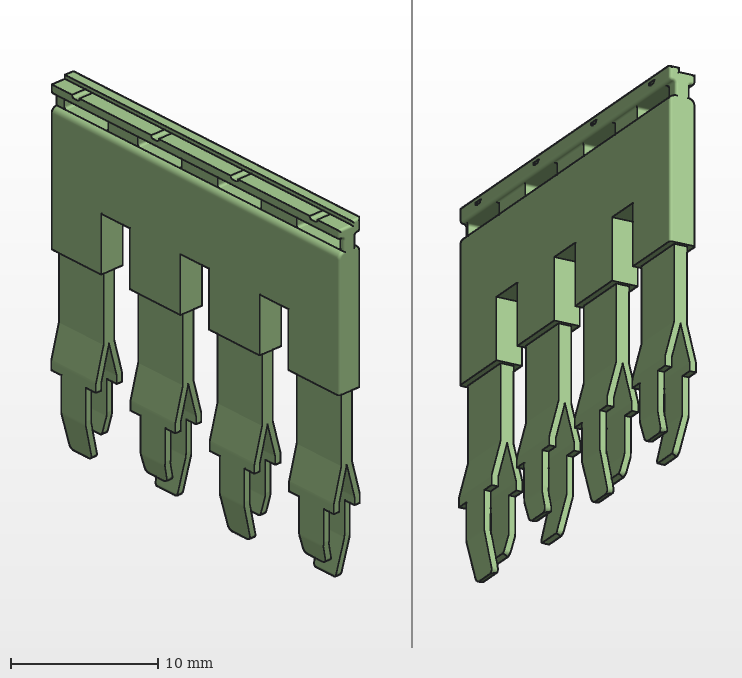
import cadquery as cq
import math


pole_count = 4
pole_pitch = 7.95
slot_width = 2.85
overall_height = 27.94

housing_thickness = 2.0
housing_bottom_z = 14.97
slot_top_z = 19.64
end_round = 0.2

neck_thickness = 1.1
neck_bottom_z = 25.87
shoulder_round = 0.5
shoulder_fall = math.radians(20)
head_bottom_z = 26.86
ledge_z = 27.63
rear_lip_y = 0.2
head_edge_round = 0.25
neck_root_round = 0.17

window_width = 4.38
window_corner_round = 0.2
window_offset = 0.02
first_window_shift = 0.58

notch_width = 0.75
notch_depth = 0.22
notch_floor_round = 0.2

pin_width = 4.5
pin_spread = 2.42
leaf_thickness = 0.5
split_z = 9.27
upper_bend_z = 6.56
lower_bend_z = 2.94
bend_inner_round = 0.3
finger_width = 2.5
finger_top_z = 5.85
taper_top_z = 3.28
tip_width = 2.2
tip_outer_y = 0.49
tip_half_gap = 0.05
tip_corner_round = 0.4
short_leaf_z = 1.49

position_tolerance = 0.01

housing_length = pole_count * pole_pitch - slot_width
half_length = housing_length / 2
half_thickness = housing_thickness / 2
half_neck = neck_thickness / 2
half_spread = pin_spread / 2
pole_positions = [(i - (pole_count - 1) / 2) * pole_pitch for i in range(pole_count)]


def box_between(x_min, x_max, y_min, y_max, z_min, z_max):
    size = (x_max - x_min, y_max - y_min, z_max - z_min)
    return cq.Workplane("XY").box(*size, centered=False).translate((x_min, y_min, z_min))


def housing_bar():
    """Solid bar with the head, neck and shoulder section, rounded at both ends."""
    diagonal = math.sqrt(0.5)
    shoulder_centre_y = half_thickness - shoulder_round
    shoulder_top_y = shoulder_centre_y + shoulder_round * math.sin(shoulder_fall)
    shoulder_top_z = neck_bottom_z - (shoulder_top_y - half_neck) * math.tan(shoulder_fall)
    shoulder_z = shoulder_top_z - shoulder_round * math.cos(shoulder_fall)
    shoulder_mid_y = shoulder_centre_y + shoulder_round * diagonal
    shoulder_mid_z = shoulder_z + shoulder_round * diagonal
    root_y = half_neck + neck_root_round
    root_z = head_bottom_z - neck_root_round
    root_mid_y = root_y - neck_root_round * diagonal
    root_mid_z = root_z + neck_root_round * diagonal
    edge_y = half_thickness - head_edge_round
    edge_z = head_bottom_z + head_edge_round
    edge_mid_y = edge_y + head_edge_round * diagonal
    edge_mid_z = edge_z - head_edge_round * diagonal

    bar = (
        cq.Workplane("YZ")
        .moveTo(-half_thickness, housing_bottom_z)
        .lineTo(half_thickness, housing_bottom_z)
        .lineTo(half_thickness, shoulder_z)
        .threePointArc((shoulder_mid_y, shoulder_mid_z), (shoulder_top_y, shoulder_top_z))
        .lineTo(half_neck, neck_bottom_z)
        .lineTo(half_neck, root_z)
        .threePointArc((root_mid_y, root_mid_z), (root_y, head_bottom_z))
        .lineTo(edge_y, head_bottom_z)
        .threePointArc((edge_mid_y, edge_mid_z), (half_thickness, edge_z))
        .lineTo(half_thickness, overall_height)
        .lineTo(rear_lip_y, overall_height)
        .lineTo(rear_lip_y, ledge_z)
        .lineTo(-half_thickness, ledge_z)
        .lineTo(-half_thickness, edge_z)
        .threePointArc((-edge_mid_y, edge_mid_z), (-edge_y, head_bottom_z))
        .lineTo(-root_y, head_bottom_z)
        .threePointArc((-root_mid_y, root_mid_z), (-half_neck, root_z))
        .lineTo(-half_neck, neck_bottom_z)
        .lineTo(-shoulder_top_y, shoulder_top_z)
        .threePointArc((-shoulder_mid_y, shoulder_mid_z), (-half_thickness, shoulder_z))
        .close()
        .extrude(half_length, both=True)
    )
    end_edges = bar.faces("<X or >X").edges().filter(
        lambda edge: edge.Center().z > housing_bottom_z + end_round
    )
    return bar.newObject(end_edges.vals()).fillet(end_round)


def tooth_slot(x):
    return box_between(
        x - slot_width / 2, x + slot_width / 2,
        -half_thickness, half_thickness,
        housing_bottom_z, slot_top_z,
    )


def neck_window(x):
    window = box_between(
        x - window_width / 2, x + window_width / 2,
        -half_thickness, half_thickness,
        neck_bottom_z, head_bottom_z,
    )
    return window.edges("|Y").fillet(window_corner_round)


def marker_notch(x):
    """Round-cornered notch that runs through the head under the rear lip."""
    notch = box_between(
        x - notch_width / 2, x + notch_width / 2,
        -half_thickness, half_thickness,
        ledge_z - notch_depth, ledge_z,
    )
    return notch.faces("<Z").edges("|Y").fillet(notch_floor_round)


def housing():
    body = housing_bar()
    for left_pole, right_pole in zip(pole_positions, pole_positions[1:]):
        body = body.cut(tooth_slot((left_pole + right_pole) / 2))
    for index, x in enumerate(pole_positions):
        window_x = x + math.copysign(window_offset, x)
        if index == 0:
            window_x += first_window_shift
        body = body.cut(neck_window(window_x))
        body = body.cut(marker_notch(x))
    return body


def leaf_strip(tip_z):
    """Bent +Y leaf at full pin width: bulging out below the split, then closing to a square-cut tip."""
    inner_y = half_spread - leaf_thickness
    upper_angle = math.atan((half_spread - leaf_thickness) / (split_z - upper_bend_z))
    lower_angle = math.atan((half_spread - tip_outer_y) / lower_bend_z)
    upper_shift = leaf_thickness * math.tan(upper_angle / 2)
    lower_shift = leaf_thickness * math.tan(lower_angle / 2)
    tip_y = half_spread - (lower_bend_z - tip_z) * math.tan(lower_angle)
    tip_inner_y = tip_y - leaf_thickness * math.cos(lower_angle)
    tip_inner_z = tip_z + leaf_thickness * math.sin(lower_angle)

    strip = (
        cq.Workplane("YZ")
        .polyline([
            (0, housing_bottom_z),
            (leaf_thickness, housing_bottom_z),
            (leaf_thickness, split_z),
            (half_spread, upper_bend_z),
            (half_spread, lower_bend_z),
            (tip_y, tip_z),
            (tip_inner_y, tip_inner_z),
            (inner_y, lower_bend_z + lower_shift),
            (inner_y, upper_bend_z - upper_shift),
            (0, split_z - upper_shift),
        ])
        .close()
        .extrude(pin_width / 2, both=True)
    )
    strip = round_bends(strip, inner_y, bend_inner_round)
    strip = round_bends(strip, half_spread, bend_inner_round + leaf_thickness)
    tip_relief = box_between(-pin_width / 2, pin_width / 2, -half_spread, tip_half_gap, 0, lower_bend_z)
    return strip.cut(tip_relief)


def round_bends(strip, bend_y, radius):
    """Round the bend lines of a leaf that lie at the given Y."""
    bend_lines = strip.edges("|X").filter(lambda edge: abs(edge.Center().y - bend_y) < position_tolerance)
    return strip.newObject(bend_lines.vals()).fillet(radius)


def leaf_outline(tip_z):
    """Front outline of a leaf: full-width shank, narrower finger, tapered and rounded tip."""
    half_pin = pin_width / 2
    half_finger = finger_width / 2
    half_tip = tip_width / 2
    outline = (
        cq.Workplane("XZ")
        .polyline([
            (-half_pin, housing_bottom_z),
            (half_pin, housing_bottom_z),
            (half_pin, finger_top_z),
            (half_finger, finger_top_z),
            (half_finger, taper_top_z),
            (half_tip, tip_z),
            (-half_tip, tip_z),
            (-half_finger, taper_top_z),
            (-half_finger, finger_top_z),
            (-half_pin, finger_top_z),
        ])
        .close()
        .extrude(half_spread, both=True)
    )
    return outline.faces("<Z").edges("|Y").fillet(tip_corner_round)


def leaf(tip_z):
    return leaf_strip(tip_z).intersect(leaf_outline(tip_z))


def contact_pin(front_tip_z, rear_tip_z):
    """Two leaves back to back: joined in the shank, spread apart below the split."""
    front_leaf = leaf(front_tip_z).mirror("XZ")
    return leaf(rear_tip_z).union(front_leaf)


def jumper_bar():
    """Housing with its pins; the long leaf alternates between front and rear."""
    front_long_pin = contact_pin(0, short_leaf_z)
    rear_long_pin = contact_pin(short_leaf_z, 0)
    bar = housing()
    for index, x in enumerate(pole_positions):
        pin = front_long_pin if index % 2 == 0 else rear_long_pin
        bar = bar.union(pin.translate((x, 0, 0)))
    return bar


result = jumper_bar()